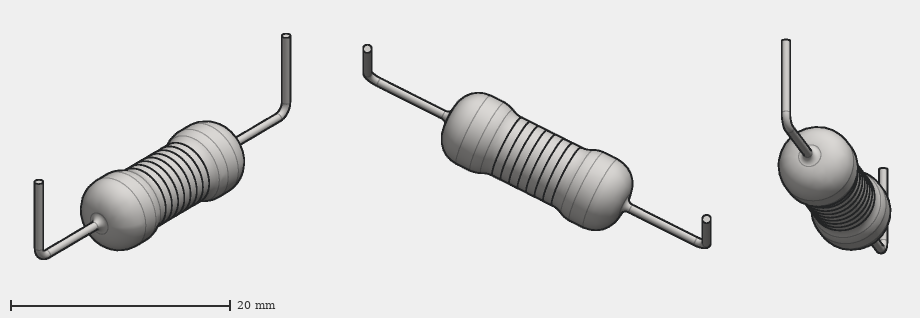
import cadquery as cq
import math


cap_diameter = 7.0
waist_diameter = 5.95
body_length = 18.0
cap_land_width = 1.43
cap_shoulder_width = 0.97
waist_flare_width = 1.08

band_diameter = 5.97
band_count = 4

lead_diameter = 0.8
lead_span = 35.0
lead_height = 8.1
bend_radius = 1.15
root_fillet = 0.65

cap_radius = cap_diameter / 2
waist_radius = waist_diameter / 2
lead_radius = lead_diameter / 2
half_body = body_length / 2
half_span = lead_span / 2

root_outer_radius = lead_radius + root_fillet
end_rounding = cap_radius - root_outer_radius

rim_y = half_body - end_rounding
land_y = rim_y - cap_land_width
inflection_y = land_y - cap_shoulder_width
waist_y = inflection_y - waist_flare_width

transition_angle = 2 * math.atan((cap_radius - waist_radius) / (land_y - waist_y))
flare_radius = waist_flare_width / math.sin(transition_angle)
shoulder_radius = cap_shoulder_width / math.sin(transition_angle)
inflection_radius = waist_radius + flare_radius * (1 - math.cos(transition_angle))

band_width = 2 * waist_y / (2 * band_count - 1)


def make_cap():
    """The +Y end cap, from the end of the waist to the flared root of its lead."""
    root_y = half_body + root_fillet
    profile = (
        cq.Workplane("XY")
        .moveTo(0, waist_y)
        .lineTo(waist_radius, waist_y)
        .radiusArc((inflection_radius, inflection_y), flare_radius)
        .radiusArc((cap_radius, land_y), -shoulder_radius)
        .lineTo(cap_radius, rim_y)
        .radiusArc((root_outer_radius, half_body), -end_rounding)
        .radiusArc((lead_radius, root_y), root_fillet)
        .lineTo(0, root_y)
    )
    return profile.close().revolve(360, (0, 0, 0), (0, 1, 0))


def make_disc(diameter, center_y, width):
    """A disc on the body axis, used for the waist and its colour bands."""
    start_y = center_y - width / 2
    return cq.Workplane("XZ", origin=(0, start_y, 0)).circle(diameter / 2).extrude(-width)


def make_lead():
    """The +Y lead: out from inside the body, round the bend and up."""
    bend_start_y = half_span - bend_radius
    path = (
        cq.Workplane("YZ")
        .moveTo(half_body, 0)
        .lineTo(bend_start_y, 0)
        .tangentArcPoint((half_span, bend_radius), relative=False)
        .lineTo(half_span, lead_height)
    )
    return cq.Workplane("XZ", origin=(0, half_body, 0)).circle(lead_radius).sweep(path)


cap_and_lead = make_cap().union(make_lead())
result = make_disc(waist_diameter, 0, 2 * waist_y)
result = result.union(cap_and_lead).union(cap_and_lead.mirror("XZ"))

for index in range(band_count):
    steps_from_middle = index - (band_count - 1) / 2
    band_y = steps_from_middle * 2 * band_width
    result = result.union(make_disc(band_diameter, band_y, band_width))